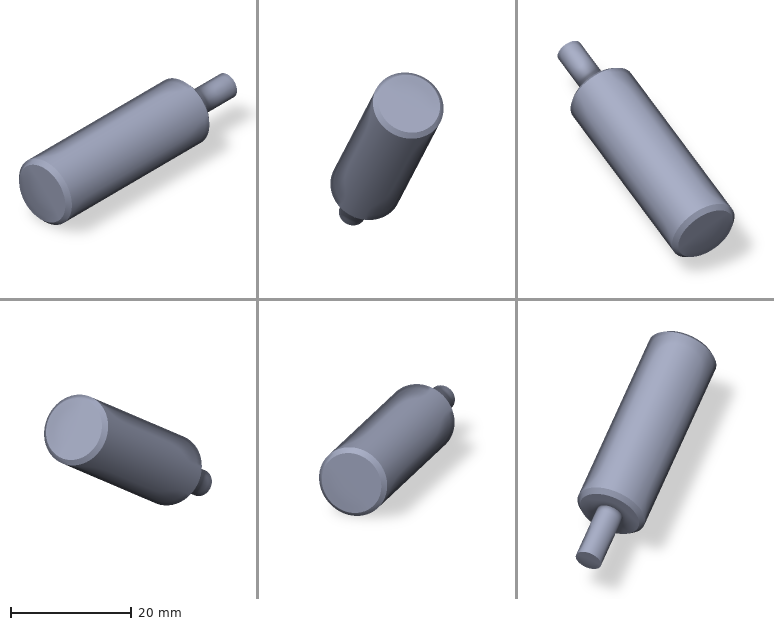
import cadquery as cq

total_length = 45.0
body_length = 35.0
body_diameter = 12.0
pin_diameter = 4.5
body_chamfer = 0.75

pin_length = total_length - body_length


def cylinder_along_y(diameter, start_y, length):
    """Solid cylinder on the Y axis, growing toward +Y from start_y."""
    base = cq.Workplane("XZ", origin=(0, start_y, 0))
    return base.circle(diameter / 2).extrude(-length)


body = cylinder_along_y(body_diameter, 0, body_length).edges().chamfer(body_chamfer)

pin = cylinder_along_y(pin_diameter, body_length, pin_length)

result = body.union(pin)